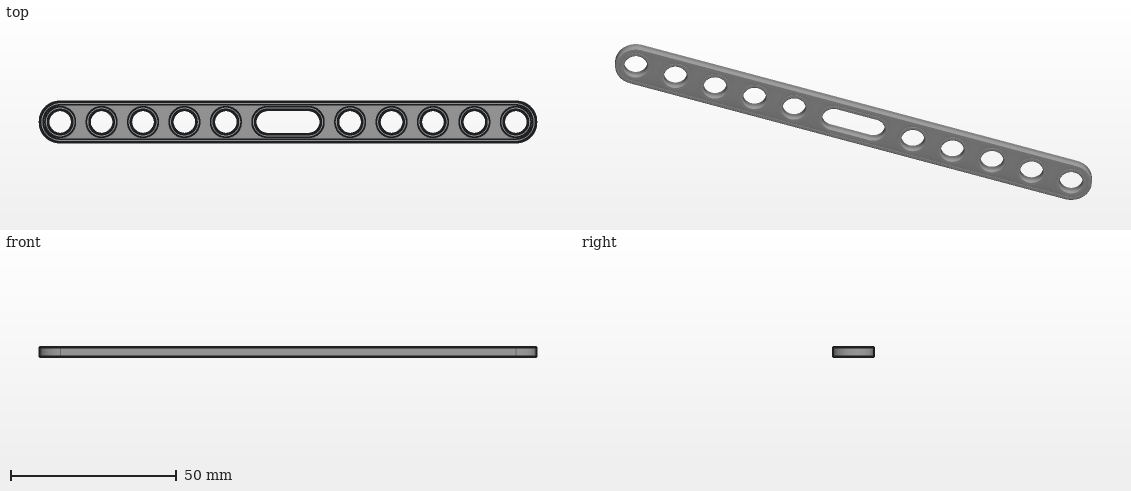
import cadquery as cq
import math

pitch = 12.5
hole_count = 12
length = pitch * hole_count
width = pitch
thickness = pitch / 4

hole_diameter = 7.0
collar_diameter = 9.2
rim_width = (collar_diameter - hole_diameter) / 2
recess_depth = 0.2
edge_chamfer = 0.3

slot_positions = (hole_count // 2 - 1, hole_count // 2)


def hole_x(index):
    """X of a place on the hole row, which is centred on the origin."""
    return (index - (hole_count - 1) / 2) * pitch


hole_points = [(hole_x(i), 0) for i in range(hole_count) if i not in slot_positions]
slot_spacing = hole_x(slot_positions[1]) - hole_x(slot_positions[0])


def stadium(total_length, diameter, height, base_z, taper=0):
    """Upright prism with straight sides and fully rounded ends."""
    outline = cq.Workplane("XY").workplane(offset=base_z).slot2D(total_length, diameter)
    return outline.extrude(height, taper=taper)


def hole_row(diameter, height, base_z, taper=0):
    """Prisms over every hole and the slot, all with the same end diameter."""
    slot = stadium(slot_spacing + diameter, diameter, height, base_z, taper)
    circles = cq.Workplane("XY").workplane(offset=base_z).pushPoints(hole_points).circle(diameter / 2)
    return slot.union(circles.extrude(height, taper=taper))


def recess(base_z):
    """Volume removed from one face, leaving the rim and the collars standing."""
    floor = stadium(length - 2 * rim_width, width - 2 * rim_width, recess_depth, base_z)
    return floor.cut(hole_row(collar_diameter, recess_depth, base_z))


def chamfered_bar():
    """Solid bar with both faces' outer edges chamfered."""
    return stadium(length, width, thickness, 0).faces("<Z or >Z").edges().chamfer(edge_chamfer)


def flare(bottom_diameter, top_diameter, base_z):
    """Tapered prisms over every opening, one chamfer tall."""
    taper = math.degrees(math.atan2(bottom_diameter - top_diameter, 2 * edge_chamfer))
    return hole_row(bottom_diameter, edge_chamfer, base_z, taper)


def openings():
    """Volume of the holes and the slot, flared at both faces by the edge chamfer."""
    flare_diameter = hole_diameter + 2 * edge_chamfer
    through = hole_row(hole_diameter, thickness, 0)
    lower_flare = flare(flare_diameter, hole_diameter, 0)
    upper_flare = flare(hole_diameter, flare_diameter, thickness - edge_chamfer)
    return through.union(lower_flare).union(upper_flare)


bar = chamfered_bar()
bar = bar.cut(recess(thickness - recess_depth))
bar = bar.cut(recess(0))
result = bar.cut(openings())